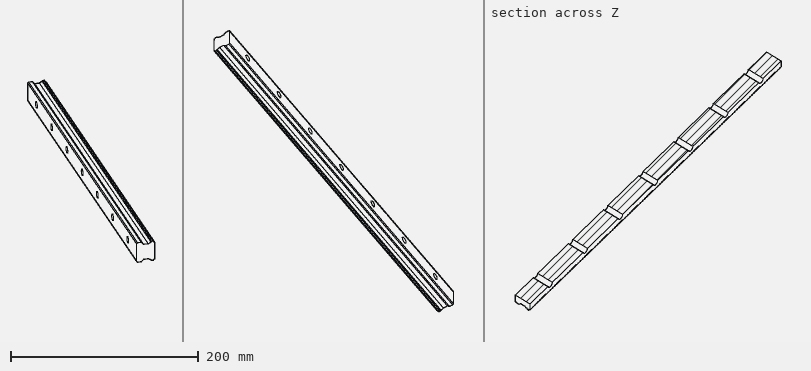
import cadquery as cq
import math

LENGTH = 430.0
HEIGHT = 20.0
WIDTH = 23.0

BASE_CHAMFER = 1.08
UPPER_RACEWAY_RADIUS = 1.7
LOWER_RACEWAY_RADIUS = 1.0
LOWER_FLANK_START = 5.0
FLOOR_START = 7.7
FLOOR_END = 13.0
RIDGE_BOTTOM = 16.8
GROOVE_DEPTH = 2.5

HOLE_COUNT = 7
HOLE_END_MARGIN = 35.0
HOLE_PITCH = (LENGTH - 2 * HOLE_END_MARGIN) / (HOLE_COUNT - 1)
HOLE_DIAMETER = 7.0


def rail_body():
    """Extrude the section, which is symmetric about Z = 0, along X."""
    half_width = WIDTH / 2
    base = -HEIGHT / 2
    floor = half_width - GROOVE_DEPTH
    ridge_top = base + HEIGHT - UPPER_RACEWAY_RADIUS
    ridge_bottom = base + RIDGE_BOTTOM
    arc_share = 1 - math.sqrt(0.5)
    upper_offset = UPPER_RACEWAY_RADIUS * arc_share
    lower_offset = LOWER_RACEWAY_RADIUS * arc_share
    upper_edge = half_width - UPPER_RACEWAY_RADIUS
    lower_edge = half_width - LOWER_RACEWAY_RADIUS
    half_section = (
        cq.Workplane("YZ")
        .moveTo(base, 0)
        .lineTo(base, half_width - BASE_CHAMFER)
        .lineTo(base + BASE_CHAMFER, half_width)
        .lineTo(base + LOWER_FLANK_START, half_width)
        .lineTo(base + FLOOR_START, floor)
        .lineTo(base + FLOOR_END, floor)
        .lineTo(ridge_bottom - LOWER_RACEWAY_RADIUS, lower_edge)
        .threePointArc(
            (ridge_bottom - lower_offset, lower_edge + lower_offset),
            (ridge_bottom, half_width),
        )
        .lineTo(ridge_top, half_width)
        .threePointArc(
            (ridge_top + upper_offset, upper_edge + upper_offset),
            (base + HEIGHT, upper_edge),
        )
        .lineTo(base + HEIGHT, 0)
        .close()
    )
    upper_half = half_section.extrude(LENGTH / 2, both=True)
    return upper_half.union(upper_half.mirror("XY"))


def mounting_holes():
    """Row of through holes along Y, centred on the rail length."""
    return (
        cq.Workplane("XZ")
        .rarray(HOLE_PITCH, 4.5, HOLE_COUNT, 1)
        .circle(HOLE_DIAMETER / 2)
        .extrude(HEIGHT, both=True)
    )


result = rail_body().cut(mounting_holes())